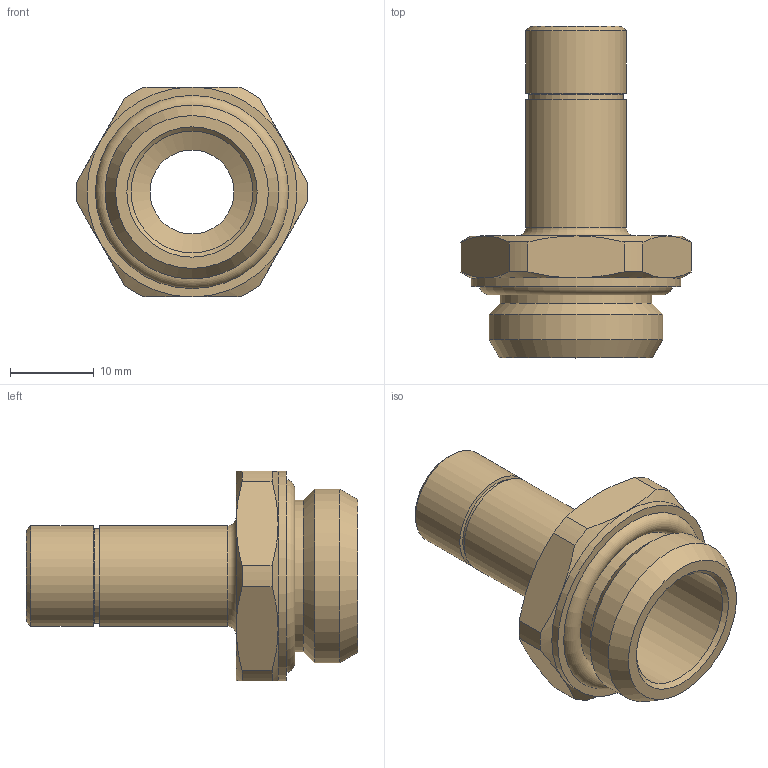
import cadquery as cq
import math


neck_start = 6.5
seal_start = 7.5
collar_start = 8.5
hex_start = 9.5
hex_end = 14.5
tube_groove_start = 30.75
tube_groove_floor_end = 31.4
tube_groove_end = 31.5
total_length = 39.5

thread_radius = 10.35
port_face_radius = 9.1
neck_radius = 9.0
seal_radius = 11.5
tube_radius = 6.0
tube_groove_radius = 5.6
through_bore_radius = 5.0
port_bore_radius = 7.25

hex_across_flats = 25.0
hex_corner_diameter = 27.5
hex_chamfer_angle = 30.0

thread_chamfer_angle = 30.0
tube_root_fillet = 1.0
tube_end_chamfer = 0.55
port_bore_chamfer = 0.5
port_bore_depth = 11.0
port_floor_angle = 134.0

collar_radius = hex_across_flats / 2


def revolve_about_y(profile):
    """Turn a closed XY profile (X = radius) fully about the Y axis."""
    return profile.close().revolve(360, (0, 0, 0), (0, 1, 0))


def make_turned_body():
    """Port thread, neck, seal ring, collar and stub tube, without the hexagon."""
    thread_chamfer_rise = thread_radius - port_face_radius
    thread_chamfer_end = thread_chamfer_rise / math.tan(math.radians(thread_chamfer_angle))
    thread_end = neck_start - (thread_radius - neck_radius)
    seal_crest = ((neck_radius + seal_radius) / 2, seal_start)
    arc_offset = math.sqrt(0.5)
    root_center = (tube_radius + tube_root_fillet, hex_end + tube_root_fillet)
    root_mid = (
        root_center[0] - tube_root_fillet * arc_offset,
        root_center[1] - tube_root_fillet * arc_offset,
    )
    profile = (
        cq.Workplane("XY")
        .moveTo(0, 0)
        .lineTo(port_face_radius, 0)
        .lineTo(thread_radius, thread_chamfer_end)
        .lineTo(thread_radius, thread_end)
        .lineTo(neck_radius, neck_start)
        .lineTo(neck_radius, collar_start)
        .threePointArc(seal_crest, (seal_radius, collar_start))
        .lineTo(collar_radius, collar_start)
        .lineTo(collar_radius, hex_end)
        .lineTo(root_center[0], hex_end)
        .threePointArc(root_mid, (tube_radius, root_center[1]))
        .lineTo(tube_radius, tube_groove_start)
        .lineTo(tube_groove_radius, tube_groove_start)
        .lineTo(tube_groove_radius, tube_groove_floor_end)
        .lineTo(tube_radius, tube_groove_end)
        .lineTo(tube_radius, total_length - tube_end_chamfer)
        .lineTo(tube_radius - tube_end_chamfer, total_length)
        .lineTo(0, total_length)
    )
    return revolve_about_y(profile)


def make_hexagon():
    """Hexagon with flats at +Z and -Z, corners rounded and chamfered on both sides."""
    corner_radius = hex_corner_diameter / 2
    corner_drop = (corner_radius - collar_radius) * math.tan(math.radians(hex_chamfer_angle))
    hex_across_corners = hex_across_flats / math.cos(math.radians(30))
    prism = (
        cq.Workplane("XZ", origin=(0, hex_end, 0))
        .polygon(6, hex_across_corners)
        .extrude(hex_end - hex_start)
    )
    envelope = (
        cq.Workplane("XY")
        .moveTo(0, hex_start)
        .lineTo(collar_radius, hex_start)
        .lineTo(corner_radius, hex_start + corner_drop)
        .lineTo(corner_radius, hex_end - corner_drop)
        .lineTo(collar_radius, hex_end)
        .lineTo(0, hex_end)
    )
    return prism.intersect(revolve_about_y(envelope))


def make_bore():
    """Chamfered port bore with a conical floor, leading into the through bore."""
    half_floor_angle = math.radians(port_floor_angle / 2)
    floor_length = (port_bore_radius - through_bore_radius) / math.tan(half_floor_angle)
    profile = (
        cq.Workplane("XY")
        .moveTo(0, 0)
        .lineTo(port_bore_radius + port_bore_chamfer, 0)
        .lineTo(port_bore_radius, port_bore_chamfer)
        .lineTo(port_bore_radius, port_bore_depth)
        .lineTo(through_bore_radius, port_bore_depth + floor_length)
        .lineTo(through_bore_radius, total_length)
        .lineTo(0, total_length)
    )
    return revolve_about_y(profile)


result = make_turned_body().union(make_hexagon()).cut(make_bore())